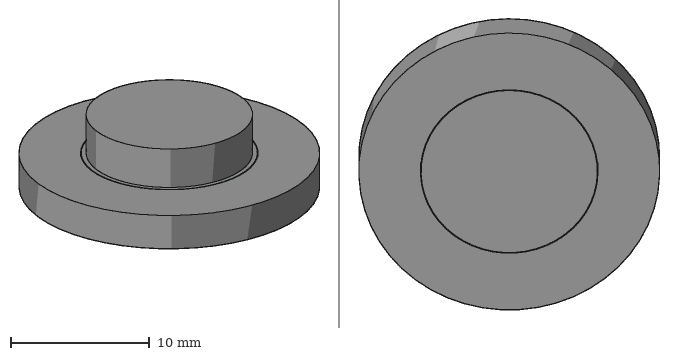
import cadquery as cq

ring_diameter = 21.7
ring_thickness = 2.65
bore_diameter = 12.8

overall_height = 5.7
bore_clearance = 0.05
plug_base_diameter = bore_diameter - 2 * bore_clearance
plug_base_height = ring_thickness
plug_top_diameter = 12.0
plug_top_height = overall_height - plug_base_height


def make_ring():
    """Plain ring with a through bore, resting on Z = 0."""
    return (
        cq.Workplane("XY")
        .circle(ring_diameter / 2)
        .circle(bore_diameter / 2)
        .extrude(ring_thickness)
    )


def make_plug():
    """Solid plug: a wide base inside the bore and a narrower top above it."""
    return (
        cq.Workplane("XY")
        .circle(plug_base_diameter / 2)
        .extrude(plug_base_height)
        .faces(">Z")
        .workplane()
        .circle(plug_top_diameter / 2)
        .extrude(plug_top_height)
    )


ring = make_ring()
plug = make_plug()

result = cq.Compound.makeCompound([ring.val(), plug.val()])